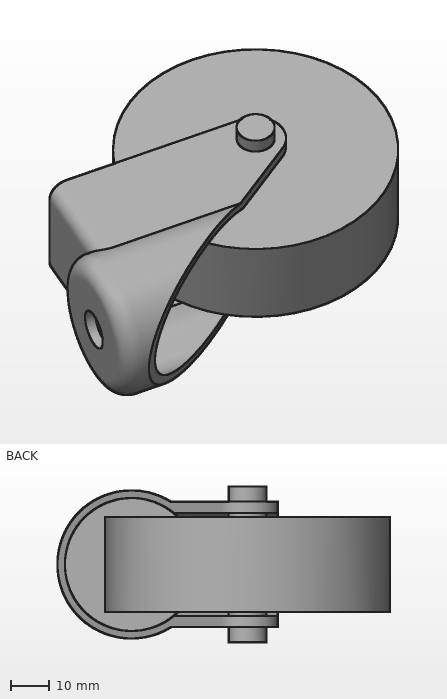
import cadquery as cq
import math

WHEEL_DIAMETER = 75.0
WHEEL_WIDTH = 25.0
AXLE_DIAMETER = 10.0
AXLE_LENGTH = 41.0

FORK_WIDTH = 33.0
FORK_THICKNESS = 3.0
FORK_BEND_RADIUS = 5.0
FORK_EYE_RADIUS = 8.0
FORK_WEB_Y = -56.5

HOUSING_X = 30.5
HOUSING_RADIUS = 19.5
HOUSING_WALL = 2.0
HOUSING_FLOOR = 3.0
HOUSING_BASE_Y = -62.5
HOUSING_ROUNDING = 5.0
BOLT_HOLE_DIAMETER = 10.5

SLOPE_START_Y = -56.0

housing_right_x = HOUSING_X + HOUSING_RADIUS
housing_height = FORK_EYE_RADIUS - HOUSING_BASE_Y
fork_gap = FORK_WIDTH - 2 * FORK_THICKNESS


def cylinder_along_z(diameter, length):
    """Cylinder on the Z axis, centred on the XY plane."""
    plane = cq.Plane(origin=(0, 0, -length / 2), xDir=(-1, 0, 0), normal=(0, 0, 1))
    return cq.Workplane(plane).circle(diameter / 2).extrude(length)


def cylinder_along_y(radius, start_y, length):
    """Cylinder on the housing axis, running from start_y towards +Y."""
    plane = cq.Plane(origin=(HOUSING_X, start_y, 0), xDir=(0, 0, 1), normal=(0, 1, 0))
    return cq.Workplane(plane).circle(radius).extrude(length)


def side_profile():
    """Prism with the XY outline shared by fork and housing: an eye around the axle,
    a straight -X edge and a slope running tangent from the eye to the housing side."""
    slope_distance = math.hypot(housing_right_x, SLOPE_START_Y)
    slope_bearing = math.atan2(SLOPE_START_Y, housing_right_x)
    tangent_angle = slope_bearing + math.acos(FORK_EYE_RADIUS / slope_distance)
    tangent_point = (
        FORK_EYE_RADIUS * math.cos(tangent_angle),
        FORK_EYE_RADIUS * math.sin(tangent_angle),
    )
    mid_angle = (tangent_angle + math.pi) / 2
    eye_mid_point = (
        FORK_EYE_RADIUS * math.cos(mid_angle),
        FORK_EYE_RADIUS * math.sin(mid_angle),
    )
    return (
        cq.Workplane("XY")
        .moveTo(-FORK_EYE_RADIUS, HOUSING_BASE_Y)
        .lineTo(-FORK_EYE_RADIUS, 0)
        .threePointArc(eye_mid_point, tangent_point)
        .lineTo(housing_right_x, SLOPE_START_Y)
        .lineTo(housing_right_x, HOUSING_BASE_Y)
        .close()
        .extrude(HOUSING_RADIUS, both=True)
    )


def fork_block(width, web_y, end_x):
    """Block from the -X edge to end_x, with rounded bends along its -Y side."""
    length = FORK_EYE_RADIUS - web_y
    return (
        cq.Workplane("XY")
        .box(end_x + FORK_EYE_RADIUS, length, width, centered=(False, False, True))
        .translate((-FORK_EYE_RADIUS, web_y, 0))
        .edges("|X and <Y")
        .fillet(FORK_BEND_RADIUS)
    )


def make_fork_and_housing():
    fork = fork_block(FORK_WIDTH, FORK_WEB_Y, HOUSING_X)
    housing = cylinder_along_y(HOUSING_RADIUS, HOUSING_BASE_Y, housing_height)
    housing = housing.faces("<Y").edges().fillet(HOUSING_ROUNDING)
    wheel_gap = fork_block(fork_gap, FORK_WEB_Y + FORK_THICKNESS, HOUSING_X)
    cup_cavity = cylinder_along_y(
        HOUSING_RADIUS - HOUSING_WALL, HOUSING_BASE_Y + HOUSING_FLOOR, housing_height
    )
    bolt_hole = cylinder_along_y(BOLT_HOLE_DIAMETER / 2, HOUSING_BASE_Y, housing_height)
    body = fork.union(housing).intersect(side_profile())
    return body.cut(wheel_gap).cut(cup_cavity).cut(bolt_hole)


wheel = cylinder_along_z(WHEEL_DIAMETER, WHEEL_WIDTH)
axle = cylinder_along_z(AXLE_DIAMETER, AXLE_LENGTH)
result = make_fork_and_housing().union(axle).union(wheel)